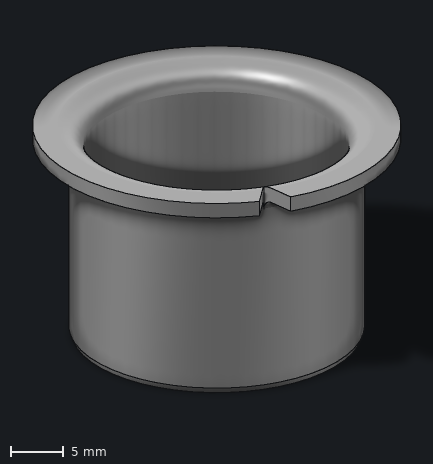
import cadquery as cq
import math

height = 21.5
flange_radius = 17.45
flange_thickness = 1.5
bore_radius = 12.52
wall_thickness = 1.5
mouth_radius = 2.5
neck_radius = 1.0
lead_in_height = 0.6
lead_in_width = 0.2
notch_half_angle = 25.0

body_radius = bore_radius + wall_thickness
flange_bottom = height - flange_thickness


def arc_middle(center_x, center_z, radius, angle):
    """Point on a circle, used as the middle of a profile arc."""
    turn = math.radians(angle)
    return (center_x + radius * math.cos(turn), center_z + radius * math.sin(turn))


def bushing():
    """Revolve the wall section, with its flange and rounded mouth, about Z."""
    neck_middle = arc_middle(body_radius + neck_radius, flange_bottom - neck_radius, neck_radius, 135)
    mouth_middle = arc_middle(bore_radius + mouth_radius, height - mouth_radius, mouth_radius, 135)
    section = (
        cq.Workplane("XZ")
        .moveTo(bore_radius, 0)
        .lineTo(body_radius - lead_in_width, 0)
        .lineTo(body_radius, lead_in_height)
        .lineTo(body_radius, flange_bottom - neck_radius)
        .threePointArc(neck_middle, (body_radius + neck_radius, flange_bottom))
        .lineTo(flange_radius, flange_bottom)
        .lineTo(flange_radius, height)
        .lineTo(bore_radius + mouth_radius, height)
        .threePointArc(mouth_middle, (bore_radius, height - mouth_radius))
        .close()
    )
    return section.revolve(360, (0, 0, 0), (0, 1, 0))


def notch():
    """V-shaped cutter on the +X side, with its tip on the body's outer surface."""
    notch_end = flange_radius + wall_thickness
    half_width = (notch_end - body_radius) * math.tan(math.radians(notch_half_angle))
    return (
        cq.Workplane("XY")
        .moveTo(body_radius, 0)
        .lineTo(notch_end, -half_width)
        .lineTo(notch_end, half_width)
        .close()
        .extrude(height)
    )


result = bushing().cut(notch())